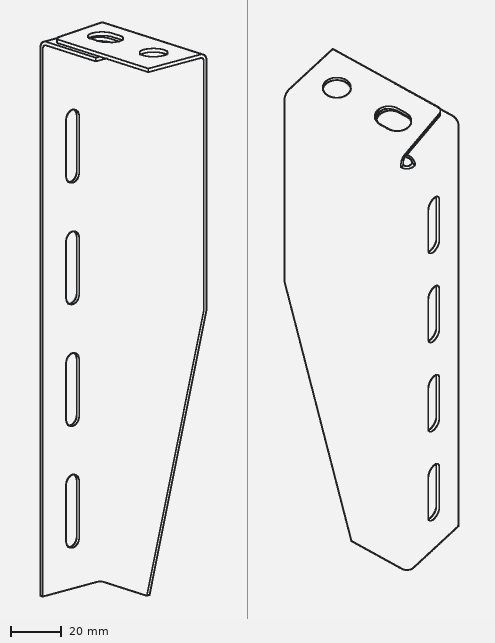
import cadquery as cq

length_x = 61.5
depth_y = 32.3
height_z = 230.5

sheet = 1.5
bend_radius = 3.2
tab_root_length = 2 * bend_radius
tab_gap = 0.5

upper_tab_start_x = 3.7
upper_tab_front_y = 1.2
upper_tab_corner_x = 7.0
upper_tab_corner_radius = 3.0

lower_tab_end_x = 32.3
lower_tab_top = height_z - sheet - tab_gap
lower_tab_back_y = 28.0
corner_relief_z = lower_tab_top - bend_radius

taper_top_z = 125.0
web_bottom_x = 28.4

hole_diameter = 11.0
tab_slot_length = 15.2
tab_slot_x = 19.4
round_hole_x = 47.3
upper_hole_y = 17.0
lower_slot_y = 16.0

flange_slot_length = 30.0
flange_slot_width = 7.0
flange_slot_y = 16.0
flange_slot_first_z = 31.8
flange_slot_pitch = 50.0
flange_slot_count = 4


def round_edge(solid, point, radius):
    """Fillet the edge whose midpoint is nearest to the point."""
    return solid.edges(cq.selectors.NearestToPointSelector(point)).fillet(radius)


def bent_sheet(plane, corner, leg_u, leg_v, width):
    """Two sheet legs with a rounded bend; signed legs run from the outer corner."""
    u, v = corner
    step_u = sheet if leg_u > 0 else -sheet
    step_v = sheet if leg_v > 0 else -sheet
    angle = (
        cq.Workplane(plane)
        .moveTo(u, v)
        .lineTo(u + leg_u, v)
        .lineTo(u + leg_u, v + step_v)
        .lineTo(u + step_u, v + step_v)
        .lineTo(u + step_u, v + leg_v)
        .lineTo(u, v + leg_v)
        .close()
        .extrude(width)
    )
    middle = width / 2
    inner = angle.plane.toWorldCoords((u + step_u, v + step_v, middle))
    outer = angle.plane.toWorldCoords((u, v, middle))
    angle = round_edge(angle, inner.toTuple(), bend_radius - sheet)
    return round_edge(angle, outer.toTuple(), bend_radius)


def make_web_and_flange():
    """Upright angle, relieved at the top corner and tapered towards the bottom."""
    body = bent_sheet("XY", (0, depth_y), length_x, -depth_y, height_z - bend_radius)
    relief = (
        cq.Workplane("XY", origin=(0, 0, corner_relief_z))
        .rect(upper_tab_start_x, depth_y, centered=False)
        .extrude(height_z - corner_relief_z)
    )
    taper = (
        cq.Workplane("XZ")
        .polyline([(web_bottom_x, 0), (length_x, 0), (length_x, taper_top_z)])
        .close()
        .extrude(-depth_y)
    )
    return body.cut(relief).cut(taper)


def tab_slot(center_y):
    """Cutter for the oblong hole in a top tab."""
    return (
        cq.Workplane("XY")
        .center(tab_slot_x, center_y)
        .slot2D(tab_slot_length, hole_diameter)
        .extrude(height_z)
    )


def make_upper_tab():
    """Top tab on the web, with a slanted left end and a rounded front corner."""
    tab = bent_sheet(
        "YZ", (depth_y, height_z), upper_tab_front_y - depth_y, -tab_root_length, length_x
    )
    outline = (
        cq.Workplane("XY")
        .polyline([
            (upper_tab_start_x, depth_y),
            (upper_tab_start_x, depth_y - bend_radius),
            (upper_tab_corner_x, upper_tab_front_y),
            (length_x, upper_tab_front_y),
            (length_x, depth_y),
        ])
        .close()
        .extrude(height_z)
    )
    front_corner = (upper_tab_corner_x, upper_tab_front_y, height_z / 2)
    outline = round_edge(outline, front_corner, upper_tab_corner_radius)
    round_hole = (
        cq.Workplane("XY")
        .center(round_hole_x, upper_hole_y)
        .circle(hole_diameter / 2)
        .extrude(height_z)
    )
    return tab.intersect(outline).cut(tab_slot(upper_hole_y)).cut(round_hole)


def make_lower_tab():
    """Top tab on the flange, lying just under the upper tab."""
    tab = bent_sheet(
        "XZ", (0, lower_tab_top), lower_tab_end_x, -tab_root_length, -lower_tab_back_y
    )
    return tab.cut(tab_slot(lower_slot_y))


def make_flange_slots():
    """Cutter for the row of upright slots in the left flange."""
    centers = [
        (flange_slot_y, flange_slot_first_z + index * flange_slot_pitch)
        for index in range(flange_slot_count)
    ]
    return (
        cq.Workplane("YZ")
        .pushPoints(centers)
        .slot2D(flange_slot_length, flange_slot_width, 90)
        .extrude(sheet)
    )


result = (
    make_web_and_flange()
    .union(make_upper_tab())
    .union(make_lower_tab())
    .cut(make_flange_slots())
)